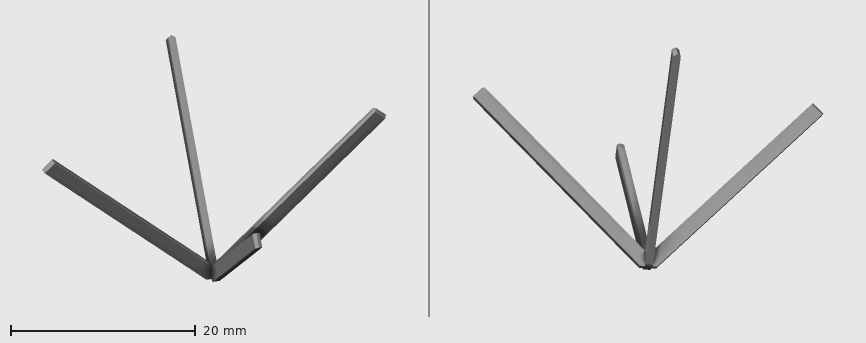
import cadquery as cq
import math

SPAN = 27.5
HEIGHT = 19.45

ARM_COUNT = 4
FIRST_ARM_ANGLE = 45
SLOPE = math.radians(45)
THICKNESS = 0.8
ROOT_REACH = 0.94
TIP_POINT = 0.28

shoulder_reach = SPAN / math.sqrt(2) - THICKNESS / 2
shoulder_z = (shoulder_reach - ROOT_REACH) * math.tan(SLOPE)
ridge_reach = shoulder_reach + TIP_POINT * math.cos(SLOPE)
ridge_z = shoulder_z + TIP_POINT * math.sin(SLOPE)
depth = (HEIGHT - ridge_z) / math.cos(SLOPE)
axis_top_z = depth / math.cos(SLOPE) - ROOT_REACH * math.tan(SLOPE)


def make_arm():
    """Sloping flat bar along +X whose outer end is pointed across its thickness."""
    side_outline = [
        (0, 0),
        (ROOT_REACH, 0),
        (ridge_reach, ridge_z),
        (ridge_reach - depth * math.sin(SLOPE), HEIGHT),
        (0, axis_top_z),
    ]
    bar = cq.Workplane("XZ").polyline(side_outline).close().extrude(THICKNESS / 2, both=True)

    tip_plane = cq.Plane(
        origin=(ridge_reach, 0, ridge_z),
        xDir=(math.cos(SLOPE), 0, math.sin(SLOPE)),
        normal=(-math.sin(SLOPE), 0, math.cos(SLOPE)),
    )
    half = THICKNESS / 2
    envelope_length = 2 * SPAN
    envelope_outline = [
        (0, 0),
        (-TIP_POINT, half),
        (-envelope_length, half),
        (-envelope_length, -half),
        (-TIP_POINT, -half),
    ]
    envelope = cq.Workplane(tip_plane).polyline(envelope_outline).close().extrude(SPAN, both=True)
    return bar.intersect(envelope)


arm = make_arm()
result = cq.Workplane("XY")
for index in range(ARM_COUNT):
    angle = FIRST_ARM_ANGLE + index * 360 / ARM_COUNT
    result = result.union(arm.rotate((0, 0, 0), (0, 0, 1), angle))